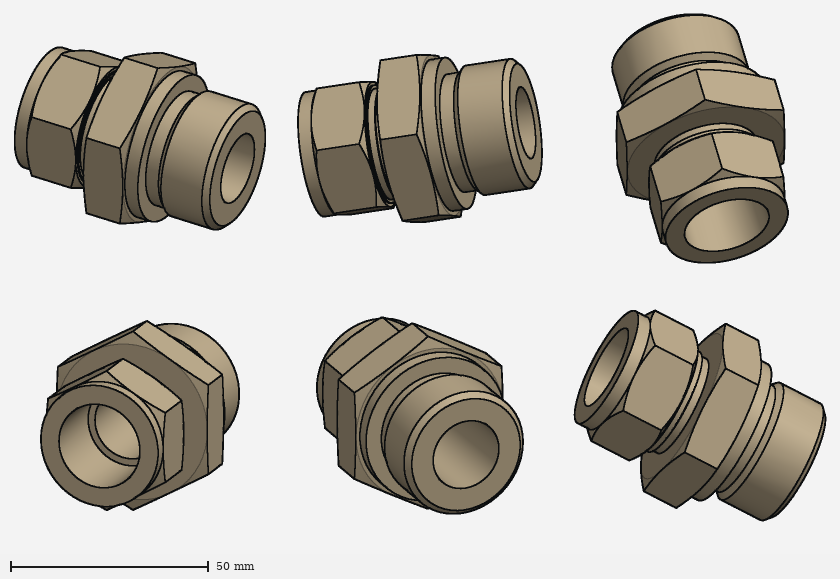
import cadquery as cq
import math


collar_end = 3.5
nut_end = 17.5
nut_washer_end = 17.85
body_thread_end = 19.7
body_hex_start = 22.05
body_hex_end = 33.3
flange_end = 37.0
stud_neck_end = 40.65
total_length = 55.3

nut_across_flats = 31.9
nut_chamfer_angle = 30
body_across_flats = 41.0
body_chamfer_angle = 15

collar_diameter = nut_across_flats
nut_washer_diameter = 30.2
body_thread_diameter = 28.4
body_neck_diameter = 26.9
flange_diameter = 38.7
stud_diameter = 33.2
stud_chamfer = 1.5
stud_neck_diameter = stud_diameter - 2 * stud_chamfer

bore_diameter = 18.3
tube_socket_diameter = 22.0
tube_socket_depth = 19.9


def cylinder(start, end, diameter):
    """Solid cylinder on the X axis between two stations."""
    return cq.Workplane("YZ", origin=(start, 0, 0)).circle(diameter / 2).extrude(end - start)


def chamfered_hexagon(start, end, across_flats, chamfer_angle):
    """Hexagonal prism on the X axis, its corners turned off conically at both ends."""
    flat_radius = across_flats / 2
    corner_radius = flat_radius / math.cos(math.radians(30))
    chamfer_length = (corner_radius - flat_radius) * math.tan(math.radians(chamfer_angle))
    prism = (
        cq.Workplane("YZ", origin=(start, 0, 0))
        .transformed(rotate=(0, 0, 90))
        .polygon(6, 2 * corner_radius)
        .extrude(end - start)
    )
    turned_envelope = (
        cq.Workplane("XY")
        .polyline([
            (start, 0),
            (start, flat_radius),
            (start + chamfer_length, corner_radius),
            (end - chamfer_length, corner_radius),
            (end, flat_radius),
            (end, 0),
        ])
        .close()
        .revolve(360, (0, 0, 0), (1, 0, 0))
    )
    return prism.intersect(turned_envelope)


collar = cylinder(0, collar_end, collar_diameter)
nut = chamfered_hexagon(collar_end, nut_end, nut_across_flats, nut_chamfer_angle)
nut_washer = cylinder(nut_end, nut_washer_end, nut_washer_diameter)

body_thread = cylinder(nut_washer_end, body_thread_end, body_thread_diameter)
body_neck = cylinder(body_thread_end, body_hex_start, body_neck_diameter)
body_hex = chamfered_hexagon(body_hex_start, body_hex_end, body_across_flats, body_chamfer_angle)
flange = cylinder(body_hex_end, flange_end, flange_diameter)

stud_neck = cylinder(flange_end, stud_neck_end, stud_neck_diameter)
stud = cylinder(stud_neck_end, total_length, stud_diameter).faces("<X or >X").chamfer(stud_chamfer)

result = collar
for section in (nut, nut_washer, body_thread, body_neck, body_hex, flange, stud_neck, stud):
    result = result.union(section)

result = result.cut(cylinder(0, total_length, bore_diameter))
result = result.cut(cylinder(0, tube_socket_depth, tube_socket_diameter))